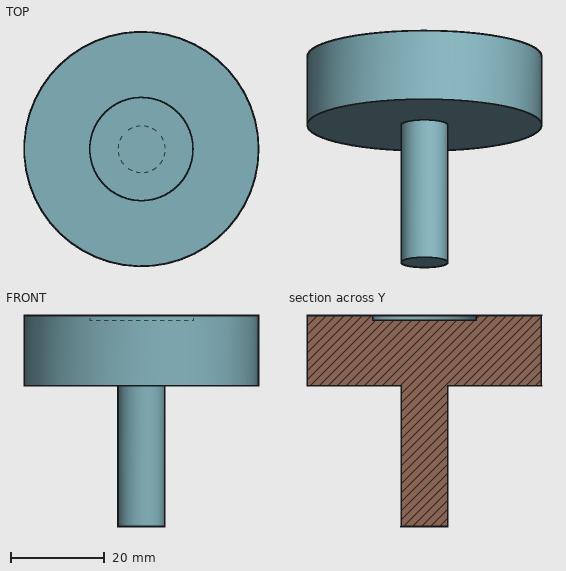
import cadquery as cq

head_diameter = 50
head_height = 15
stem_diameter = 10
stem_length = 30
recess_diameter = 22
recess_depth = 1

stem = cq.Workplane("XY").circle(stem_diameter / 2).extrude(stem_length)
head = (
    cq.Workplane("XY")
    .workplane(offset=stem_length)
    .circle(head_diameter / 2)
    .extrude(head_height)
)

recess = (
    cq.Workplane("XY")
    .workplane(offset=stem_length + head_height - recess_depth)
    .circle(recess_diameter / 2)
    .extrude(recess_depth)
)

result = stem.union(head).cut(recess)